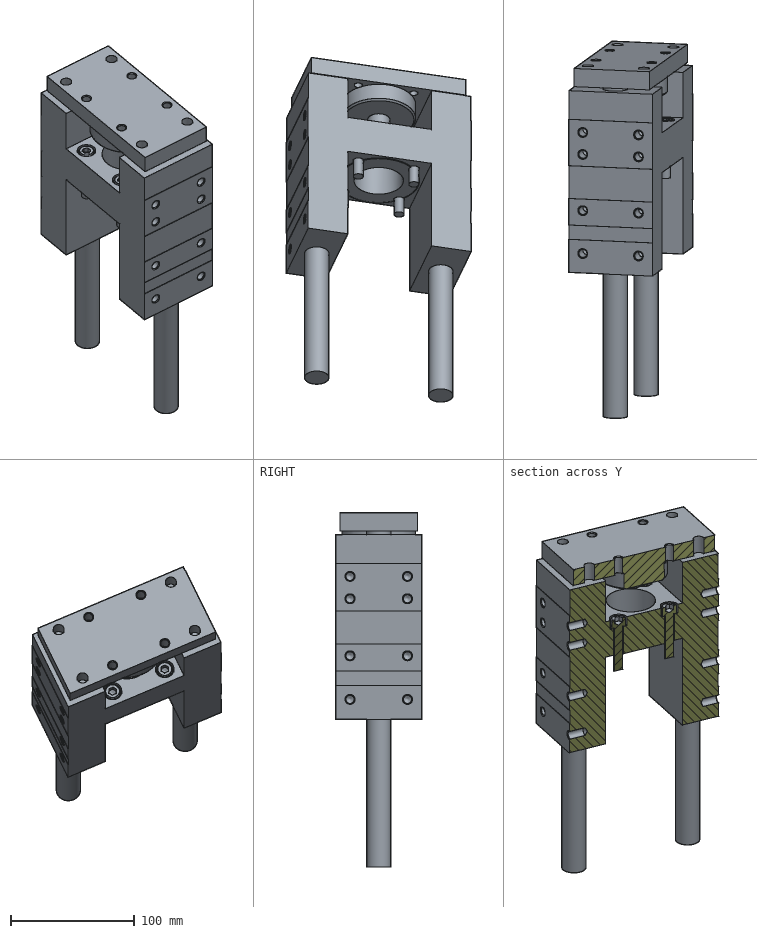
import cadquery as cq
import math

height_z = 288.0
plate_x = 130.0
plate_y = 63.0
plate_thickness = 15.0
plate_gap = 3.0
plate_hole_diameter = 9.0
plate_hole_offset_x = 50.0
rod_diameter = 20.0
rod_offset_x = 52.0
disc_diameter = 60.0
disc_height = 15.0
disc_chamfer = 1.5
stub_diameter = 18.0
stub_height = 10.0
stub_chamfer = 0.5

housing_x = 137.0
housing_y = 70.0
housing_bottom = 120.0
leg_width = 33.5
bar_drop = 37.5
bar_thickness = 32.8
bar_bore_diameter = 40.0
pad_diameter = 66.2
pad_height = 1.0
band_relief = 0.3

bolt_offset = 23.3
thread_diameter = 8.0
core_diameter = 6.5
mouth_angle = 90.0
side_hole_depth = 14.5
drill_point_angle = 118.0
clearance_diameter = 9.0
counterbore_diameter = 15.0
head_diameter = 13.0
head_height = 8.0
head_chamfer = 1.0
shank_length = 39.7
socket_across_flats = 6.0
socket_depth = 4.0

plate_bottom = height_z - plate_thickness
disc_bottom = plate_bottom - disc_height
housing_top = plate_bottom - plate_gap
housing_height = housing_top - housing_bottom
bar_top = housing_top - bar_drop
bar_bottom = bar_top - bar_thickness
pad_bottom = bar_bottom - pad_height
head_bottom = bar_top - head_height
leg_spacing = housing_x - 2 * leg_width
center = [(0, 0)]
rod_points = [(-rod_offset_x, 0), (rod_offset_x, 0)]
bolt_points = [(sx * bolt_offset, sy * bolt_offset) for sx in (-1, 1) for sy in (-1, 1)]
plate_hole_points = [(sx * plate_hole_offset_x, sy * bolt_offset) for sx in (-1, 1) for sy in (-1, 1)]

side_bands = [(23.5, 62.0), (89.0, 111.0), (122.7, housing_height)]
side_hole_rows = [34.0, 52.0, 98.5, 134.0]


def block(size_x, size_y, z_low, z_high):
    """Box centred on the Z axis between two levels."""
    return cq.Workplane("XY", origin=(0, 0, z_low)).rect(size_x, size_y).extrude(z_high - z_low)


def cylinders(points, diameter, z_low, z_high):
    """Vertical cylinders at the given XY points between two levels."""
    plane = cq.Workplane("XY", origin=(0, 0, z_low))
    return plane.pushPoints(points).circle(diameter / 2).extrude(z_high - z_low)


def drill_point_height(diameter):
    return diameter / 2 / math.tan(math.radians(drill_point_angle / 2))


def side_hole_cutter():
    """Blind threaded hole along +X from the origin: chamfered mouth, core and drill point."""
    mouth_radius = thread_diameter / 2
    core_radius = core_diameter / 2
    mouth_depth = (mouth_radius - core_radius) / math.tan(math.radians(mouth_angle / 2))
    tip_depth = side_hole_depth + drill_point_height(core_diameter)
    profile = [
        (0, 0),
        (0, mouth_radius),
        (mouth_depth, core_radius),
        (side_hole_depth, core_radius),
        (tip_depth, 0),
    ]
    return cq.Workplane("XY").polyline(profile).close().revolve(360, (0, 0, 0), (1, 0, 0))


def make_slide():
    plate = block(plate_x, plate_y, plate_bottom, height_z)
    top_face = plate.faces(">Z").workplane()
    plate = top_face.pushPoints(bolt_points).cskHole(core_diameter, thread_diameter, mouth_angle)
    plate = plate.cut(cylinders(plate_hole_points, plate_hole_diameter, plate_bottom, height_z))

    disc = cylinders(center, disc_diameter, disc_bottom, plate_bottom)
    disc = disc.faces("<Z").chamfer(disc_chamfer)
    stub = cylinders(center, stub_diameter, disc_bottom - stub_height, disc_bottom)
    stub = stub.faces("<Z").chamfer(stub_chamfer)

    rods = cylinders(rod_points, rod_diameter, 0, plate_bottom)
    return plate.union(disc).union(stub).union(rods)


def make_housing():
    body = block(housing_x - 2 * band_relief, housing_y, housing_bottom, housing_top)
    for upper, lower in side_bands:
        body = body.union(block(housing_x, housing_y, housing_top - lower, housing_top - upper))
    body = body.cut(block(leg_spacing, housing_y, bar_top, housing_top))
    body = body.cut(block(leg_spacing, housing_y, housing_bottom, bar_bottom))

    body = body.union(cylinders(center, pad_diameter, pad_bottom, bar_bottom))

    body = body.cut(cylinders(rod_points, rod_diameter, housing_bottom, housing_top))
    body = body.cut(cylinders(center, bar_bore_diameter, pad_bottom, bar_top))
    body = body.cut(cylinders(bolt_points, clearance_diameter, pad_bottom, bar_top))
    body = body.cut(cylinders(bolt_points, counterbore_diameter, head_bottom, bar_top))

    for row in side_hole_rows:
        for y in (-bolt_offset, bolt_offset):
            cutter = side_hole_cutter().translate((-housing_x / 2, y, housing_top - row))
            body = body.cut(cutter).cut(cutter.mirror("YZ"))
    return body


def make_screw(x, y):
    """Cap screw with its head flush with the top of the cross bar."""
    head = cylinders([(x, y)], head_diameter, head_bottom, bar_top)
    head = head.faces(">Z").chamfer(head_chamfer)
    shank = cylinders([(x, y)], thread_diameter, head_bottom - shank_length, head_bottom)

    socket_bottom = bar_top - socket_depth
    across_corners = socket_across_flats / math.cos(math.radians(30))
    socket = cq.Workplane("XY", origin=(x, y, socket_bottom)).polygon(6, across_corners).extrude(socket_depth)
    point = cq.Solid.makeCone(
        socket_across_flats / 2,
        0,
        drill_point_height(socket_across_flats),
        cq.Vector(x, y, socket_bottom),
        cq.Vector(0, 0, -1),
    )
    return head.union(shank).cut(socket).cut(cq.Workplane(point))


slide = make_slide().solids().val()
housing = make_housing().solids().val()
screws = [make_screw(x, y).solids().val() for x, y in bolt_points]

result = cq.Compound.makeCompound([slide, housing, *screws])